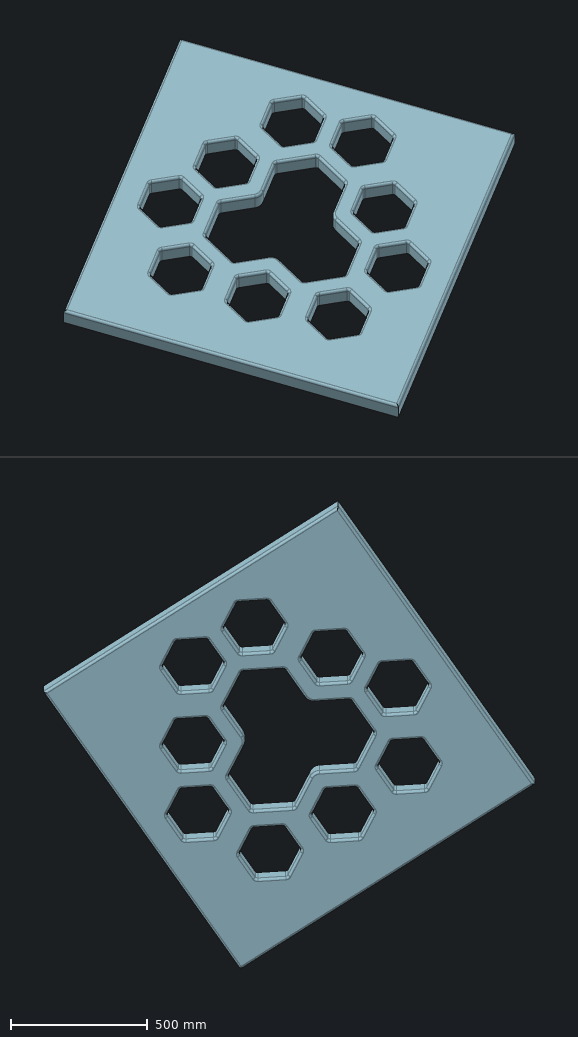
import cadquery as cq
import math

side = 1300.0
thickness = 80.0
edge_round = 10.0
corner_round = 10.0

large_radius = 156.0
notch_round = 40.0
pitch = large_radius * math.sqrt(3)
row_spacing = 1.5 * large_radius
large_centres = [
    (0, large_radius),
    (-pitch / 2, -large_radius / 2),
    (pitch / 2, -large_radius / 2),
]

small_radius = 115.0
top_pair_y = 432.0
shoulder_x = 305.0
shoulder_y = 177.0
lower_pair_y = -330.0
bottom_hole_y = -352.0
right_half_centres = [
    (pitch / 2, top_pair_y),
    (shoulder_x, shoulder_y),
    (shoulder_x + pitch / 2, shoulder_y - row_spacing),
    (shoulder_x, lower_pair_y),
]
left_half_centres = [(-x, y) for x, y in right_half_centres]
small_centres = right_half_centres + left_half_centres + [(0, bottom_hole_y)]


def hexagonal_prism(centre, radius):
    """Plate-thick hexagonal prism with two of its corners pointing along Y."""
    prism = cq.Workplane("XY").polygon(6, 2 * radius).extrude(thickness / 2, both=True)
    return prism.rotate((0, 0, 0), (0, 0, 1), 90).translate((*centre, 0))


def distance_from_axis(edge):
    """Distance of an upright edge from the plate's central axis."""
    position = edge.Center()
    return math.hypot(position.x, position.y)


def central_cutter():
    """Three merged hexagons with rounded corners and wider rounds on the three notches."""
    merged = hexagonal_prism(large_centres[0], large_radius)
    for centre in large_centres[1:]:
        merged = merged.union(hexagonal_prism(centre, large_radius))
    merged = merged.clean()

    notch_limit = 1.2 * large_radius
    uprights = merged.edges("|Z").vals()
    notches = [edge for edge in uprights if distance_from_axis(edge) < notch_limit]
    corners = [edge for edge in uprights if distance_from_axis(edge) > notch_limit]
    merged = merged.newObject(corners).fillet(corner_round)
    return merged.newObject(notches).fillet(notch_round)


def small_cutter(centre):
    """Small hexagon with rounded corners."""
    return hexagonal_prism(centre, small_radius).edges("|Z").fillet(corner_round)


plate = cq.Workplane("XY").box(side, side, thickness)
plate = plate.cut(central_cutter())
for centre in small_centres:
    plate = plate.cut(small_cutter(centre))
result = plate.faces("<Z or >Z").edges().fillet(edge_round)